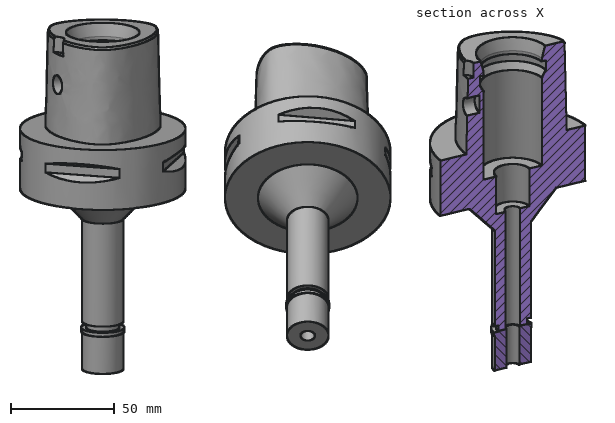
import cadquery as cq
import math

TOTAL_HEIGHT = 168.0
FLANGE_TOP = 120.0
FLANGE_BOTTOM = 90.0
CONE_BOTTOM = 75.1
NECK_TOP = 23.7
NUT_TOP = 20.7
COLLAR_BOTTOM = 18.6

FLANGE_DIA = 80.0
CONE_DIA = 48.0
STEM_DIA = 20.2
NECK_DIA = 16.1
COLLAR_DIA = 20.8
NUT_DIA = 20.2

SHANK_BASE_WIDTH = 55.6
LOBE_ECCENTRICITY = 2.0
SHANK_TAPER = 1 / 20
TOP_CHAMFER_HEIGHT = 1.2
TOP_CHAMFER_INSET = 0.7

MOUTH_DIA = 35.5
BORE_DIA = 32.0
RECESS_DIA = 36.1
LIP_START = 6.4
LIP_END = 8.2
RECESS_END = 13.0
RECESS_CONE_END = 16.8
BORE_FLOOR = 104.2
SCREW_BORE_DIA = 18.1
SCREW_BORE_FLOOR = 84.0
CHANNEL_DIA = 7.9
NUT_HOLE_DIA = 6.9

NOTCH_DIA = 10.5
NOTCH_CENTRE = 27.0
NOTCH_DEPTH = 7.7

SIDE_HOLE_DIA = 9.0
SIDE_HOLE_HEIGHT = 145.2
SIDE_HOLE_FLOOR = 18.5

GROOVE_COUNT = 4
GROOVE_HEIGHT = 108.0
GROOVE_FLOOR_WIDTH = 4.4
GROOVE_FLOOR_DISTANCE = 35.5
GROOVE_FLANK_ANGLE = 28.0


def shank_section(width, height):
    """Wire of the three-lobed constant-width curve, one lobe toward +Y."""
    e = LOBE_ECCENTRICITY

    def point(t):
        along_lobe = width / 2 * math.cos(t) + 2 * e * math.cos(2 * t) - e * math.cos(4 * t)
        across = width / 2 * math.sin(t) - 2 * e * math.sin(2 * t) - e * math.sin(4 * t)
        return (across, along_lobe, height)

    count = 48
    points = [cq.Vector(*point(2 * math.pi * i / count)) for i in range(count)]
    return cq.Wire.assembleEdges([cq.Edge.makeSpline(points, periodic=True)])


def make_shank():
    chamfer_base = TOTAL_HEIGHT - TOP_CHAMFER_HEIGHT
    top_width = SHANK_BASE_WIDTH - SHANK_TAPER * (chamfer_base - FLANGE_TOP)
    base = shank_section(SHANK_BASE_WIDTH, FLANGE_TOP)
    shoulder = shank_section(top_width, chamfer_base)
    tip = shank_section(top_width - 2 * TOP_CHAMFER_INSET, TOTAL_HEIGHT)
    taper = cq.Solid.makeLoft([base, shoulder], True)
    chamfer = cq.Solid.makeLoft([shoulder, tip], True)
    return cq.Workplane(taper).union(cq.Workplane(chamfer))


def revolve_profile(diameters_and_heights):
    """Solid of revolution about Z from (diameter, height) steps."""
    outline = [(dia / 2, z) for dia, z in diameters_and_heights]
    bottom = outline[0][1]
    top = outline[-1][1]
    profile = cq.Workplane("XZ").polyline([(0, bottom), *outline, (0, top)]).close()
    return profile.revolve(360, (0, 0, 0), (0, 1, 0))


def make_holder_bore():
    return revolve_profile([
        (CHANNEL_DIA, NUT_TOP),
        (CHANNEL_DIA, SCREW_BORE_FLOOR),
        (SCREW_BORE_DIA, SCREW_BORE_FLOOR),
        (SCREW_BORE_DIA, BORE_FLOOR),
        (BORE_DIA, BORE_FLOOR),
        (BORE_DIA, TOTAL_HEIGHT - RECESS_CONE_END),
        (RECESS_DIA, TOTAL_HEIGHT - RECESS_END),
        (RECESS_DIA, TOTAL_HEIGHT - LIP_END),
        (BORE_DIA, TOTAL_HEIGHT - LIP_END),
        (BORE_DIA, TOTAL_HEIGHT - LIP_START),
        (MOUTH_DIA, TOTAL_HEIGHT),
    ])


def make_key_notch():
    notch_floor = cq.Workplane("XY", origin=(0, -NOTCH_CENTRE, TOTAL_HEIGHT - NOTCH_DEPTH))
    return notch_floor.circle(NOTCH_DIA / 2).extrude(NOTCH_DEPTH)


def make_side_hole():
    hole_floor = cq.Workplane("XZ", origin=(0, -SIDE_HOLE_FLOOR, SIDE_HOLE_HEIGHT))
    return hole_floor.circle(SIDE_HOLE_DIA / 2).extrude(FLANGE_DIA / 2 - SIDE_HOLE_FLOOR)


def make_gripper_groove(angle):
    """Straight trapezoidal groove whose floor faces outward at the given angle."""
    outer = FLANGE_DIA / 2
    flank_rise = (outer - GROOVE_FLOOR_DISTANCE) * math.tan(math.radians(GROOVE_FLANK_ANGLE))
    floor_half = GROOVE_FLOOR_WIDTH / 2
    mouth_half = floor_half + flank_rise
    profile = cq.Workplane("XZ", origin=(0, 0, GROOVE_HEIGHT)).polyline([
        (GROOVE_FLOOR_DISTANCE, -floor_half),
        (outer, -mouth_half),
        (outer, mouth_half),
        (GROOVE_FLOOR_DISTANCE, floor_half),
    ]).close()
    groove = profile.extrude(FLANGE_DIA / 2, both=True)
    return groove.rotate((0, 0, 0), (0, 0, 1), angle)


def make_holder():
    body = revolve_profile([
        (NECK_DIA, NUT_TOP),
        (NECK_DIA, NECK_TOP),
        (STEM_DIA, NECK_TOP),
        (STEM_DIA, CONE_BOTTOM),
        (CONE_DIA, FLANGE_BOTTOM),
        (FLANGE_DIA, FLANGE_BOTTOM),
        (FLANGE_DIA, FLANGE_TOP),
    ])
    body = body.union(make_shank()).cut(make_holder_bore())
    body = body.cut(make_key_notch()).cut(make_side_hole())
    spacing = 360 / GROOVE_COUNT
    for i in range(GROOVE_COUNT):
        body = body.cut(make_gripper_groove((i + 0.5) * spacing))
    return body.solids()


def make_nut():
    """Collared clamping nut below the holder's neck."""
    nut = revolve_profile([
        (NUT_DIA, 0),
        (NUT_DIA, COLLAR_BOTTOM),
        (COLLAR_DIA, COLLAR_BOTTOM),
        (COLLAR_DIA, NUT_TOP),
    ])
    return nut.cut(cq.Workplane("XY").circle(NUT_HOLE_DIA / 2).extrude(NUT_TOP))


holder = make_holder()
nut = make_nut()
result = cq.Compound.makeCompound([holder.val(), nut.val()])